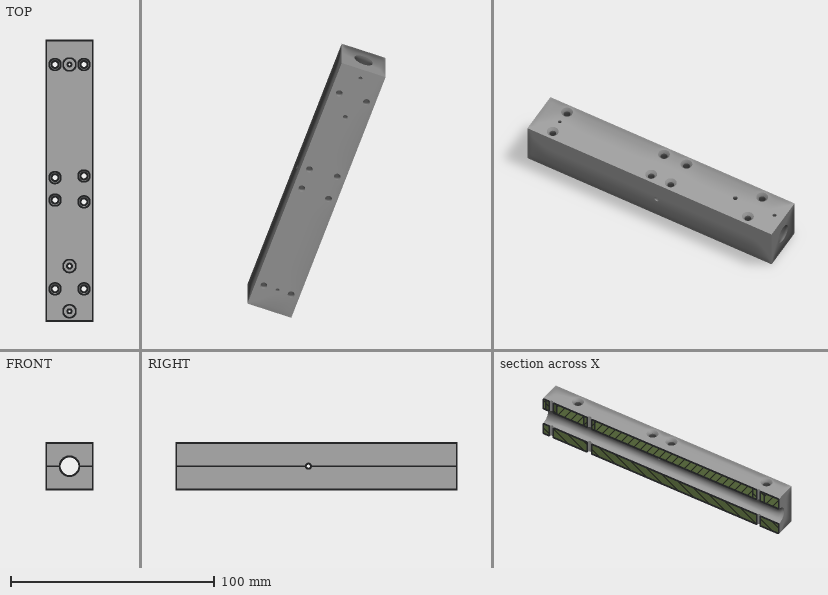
import cadquery as cq

length = 138.1
width = 22.9
half_height = width / 2
bore_diameter = 9.5

screw_spacing = 14.2
screw_x = screw_spacing / 2
screw_diameter = 3.3
sink_diameter = 5.8
sink_angle = 82
back_row_y = 57.2
front_row_y = -53.2
cluster_y = -4.0
left_cluster_offset = 5.5
right_cluster_offset = 6.4

screw_places = [
    (-screw_x, back_row_y),
    (screw_x, back_row_y),
    (-screw_x, cluster_y + left_cluster_offset),
    (-screw_x, cluster_y - left_cluster_offset),
    (screw_x, cluster_y + right_cluster_offset),
    (screw_x, cluster_y - right_cluster_offset),
    (-screw_x, front_row_y),
    (screw_x, front_row_y),
]

insert_diameter = 6.4
side_port_diameter = 2.5
top_inserts = [
    (back_row_y, 1.8),
    (-42.0, 2.3),
    (-64.2, 2.0),
]


def bore():
    """Round bar that fills the lengthwise bore."""
    return cq.Workplane("XZ").circle(bore_diameter / 2).extrude(length / 2, both=True)


def top_rod(y, diameter):
    """Vertical rod from the bore axis to the top face."""
    return cq.Workplane("XY").center(0, y).circle(diameter / 2).extrude(half_height)


def top_port(y, diameter):
    """Vertical rod through the full height of the block."""
    return cq.Workplane("XY").center(0, y).circle(diameter / 2).extrude(half_height, both=True)


def side_rod(diameter):
    """Horizontal rod from the -X face to the bore axis."""
    return cq.Workplane("YZ").center(cluster_y, 0).circle(diameter / 2).extrude(-width / 2)


def side_port():
    """Horizontal rod through the full width of the block."""
    return (
        cq.Workplane("YZ").center(cluster_y, 0).circle(side_port_diameter / 2)
        .extrude(width / 2, both=True)
    )


def half_block(side):
    """Half of the block, with the bore groove and side openings; side is +1 upper, -1 lower."""
    block = cq.Workplane("XY").rect(width, length).extrude(side * half_height)
    return block.cut(bore()).cut(side_rod(insert_diameter)).cut(side_port())


def make_upper_block():
    """Upper half: countersunk screw holes and seats for the top inserts."""
    block = (
        half_block(1)
        .faces(">Z").workplane(origin=(0, 0, half_height))
        .pushPoints(screw_places)
        .cskHole(screw_diameter, sink_diameter, sink_angle)
    )
    for y, _ in top_inserts:
        block = block.cut(top_rod(y, insert_diameter))
    return block


def make_lower_block():
    """Lower half: the screw holes and ports run on through it."""
    block = half_block(-1)
    screw_holes = (
        cq.Workplane("XY").pushPoints(screw_places).circle(screw_diameter / 2).extrude(-half_height)
    )
    block = block.cut(screw_holes)
    for y, port_diameter in top_inserts:
        block = block.cut(top_port(y, port_diameter))
    return block


def make_top_insert(y, port_diameter):
    """Insert flush with the top face and with the bore wall."""
    return top_rod(y, insert_diameter).cut(bore()).cut(top_port(y, port_diameter))


def make_side_insert():
    """Insert clamped between the halves, flush with the -X face and the bore wall."""
    return side_rod(insert_diameter).cut(bore()).cut(side_port())


upper_block = make_upper_block()
lower_block = make_lower_block()
side_insert = make_side_insert()
top_insert_solids = [make_top_insert(y, diameter).val() for y, diameter in top_inserts]

result = cq.Compound.makeCompound([
    upper_block.val(),
    lower_block.val(),
    side_insert.val(),
    *top_insert_solids,
])